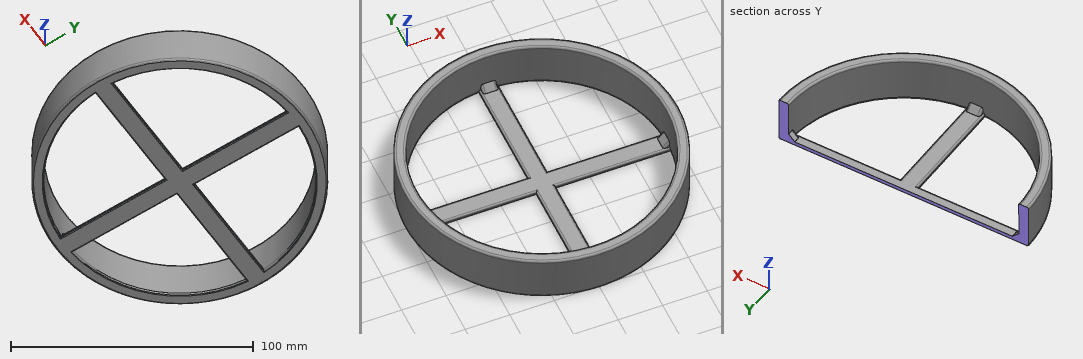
import cadquery as cq

OUTER_DIAMETER = 122.0
INNER_DIAMETER = 112.0
HEIGHT = 22.0
TOP_RIM_FILLET = 1.0
BOTTOM_RIM_CHAMFER = 0.7
BOTTOM_RIM_FILLET = 1.2

ARM_WIDTH = 8.5
ARM_THICKNESS = 2.0
ARM_FILLET = 0.8
ARM_BOTTOM_CHAMFER = 0.4
ARM_ANCHOR = 1.5

GUSSET_LENGTH = 3.0
GUSSET_HEIGHT = 3.0
GUSSET_EDGE_FILLET = 1.0

INNER_RADIUS = INNER_DIAMETER / 2
ARM_REACH = INNER_RADIUS + ARM_ANCHOR


def make_ring():
    """Ring with rounded top edges and chamfered bottom edges blended into the walls."""
    ring = cq.Workplane("XY").circle(OUTER_DIAMETER / 2).circle(INNER_RADIUS).extrude(HEIGHT)
    ring = ring.faces(">Z").edges().fillet(TOP_RIM_FILLET)
    ring = ring.faces("<Z").edges().chamfer(BOTTOM_RIM_CHAMFER)
    half_span = OUTER_DIAMETER
    margin = BOTTOM_RIM_CHAMFER / 2
    chamfer_tops = cq.selectors.BoxSelector(
        (-half_span, -half_span, BOTTOM_RIM_CHAMFER - margin),
        (half_span, half_span, BOTTOM_RIM_CHAMFER + margin),
        boundingbox=True,
    )
    return ring.edges("%CIRCLE").edges(chamfer_tops).fillet(BOTTOM_RIM_FILLET)


def make_cross():
    """Two crossing bars with rounded upper edges and chamfered lower edges."""
    length = 2 * ARM_REACH
    on_base = (True, True, False)
    bar = cq.Workplane("XY").box(length, ARM_WIDTH, ARM_THICKNESS, centered=on_base)
    bar = bar.edges("|X and >Z").fillet(ARM_FILLET)
    bar = bar.edges("|X and <Z").chamfer(ARM_BOTTOM_CHAMFER)
    return bar.union(bar.rotate((0, 0, 0), (0, 0, 1), 90))


def make_gusset():
    """Sloped wedge at the +X end of an arm, as wide as the flat top of the arm."""
    toe = INNER_RADIUS - GUSSET_LENGTH
    top = ARM_THICKNESS + GUSSET_HEIGHT
    gusset_root = ARM_THICKNESS / 2
    width = ARM_WIDTH - 2 * ARM_FILLET
    profile = [
        (toe, ARM_THICKNESS),
        (INNER_RADIUS, top),
        (ARM_REACH, top),
        (ARM_REACH, gusset_root),
        (toe, gusset_root),
    ]
    gusset = cq.Workplane("XZ").polyline(profile).close().extrude(width / 2, both=True)
    slope_flanks = cq.selectors.BoxSelector(
        (toe, -width, ARM_THICKNESS), (INNER_RADIUS, width, top)
    )
    return gusset.edges("not |Y").edges(slope_flanks).fillet(GUSSET_EDGE_FILLET)


result = make_ring().union(make_cross())
for quarter in range(4):
    result = result.union(make_gusset().rotate((0, 0, 0), (0, 0, 1), 90 * quarter))